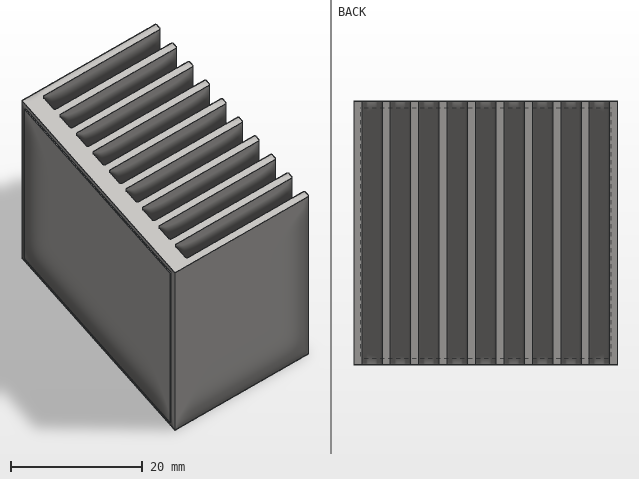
import cadquery as cq

width = 40.0
height = 40.0
sink_depth = 25.0
base_thickness = 3.0

fin_count = 10
fin_thickness = 1.2
tip_radius = 0.2
root_radius = 0.3
fin_pitch = (width - fin_thickness) / (fin_count - 1)
gap_width = fin_pitch - fin_thickness

pad_size = 38.0
pad_thickness = 0.2


def upright_block(x_size, y_size, x_center, y_start):
    """Full-height block reaching from y_start toward +Y."""
    return (
        cq.Workplane("XY")
        .box(x_size, y_size, height, centered=(True, False, True))
        .translate((x_center, y_start, 0))
    )


def make_gap(index):
    """Channel between two neighbouring fins, with a rounded floor."""
    x_center = -width / 2 + fin_thickness + gap_width / 2 + index * fin_pitch
    gap = upright_block(gap_width, sink_depth - base_thickness, x_center, base_thickness)
    return gap.edges("|Z and <Y").fillet(root_radius)


sink = upright_block(width, sink_depth, 0, 0)
for gap_index in range(fin_count - 1):
    sink = sink.cut(make_gap(gap_index))

sink = sink.faces(">Y").edges("|Z").fillet(tip_radius)

pad = (
    cq.Workplane("XY")
    .box(pad_size, pad_thickness, pad_size, centered=(True, False, True))
    .translate((0, -pad_thickness, 0))
)

result = sink.union(pad)